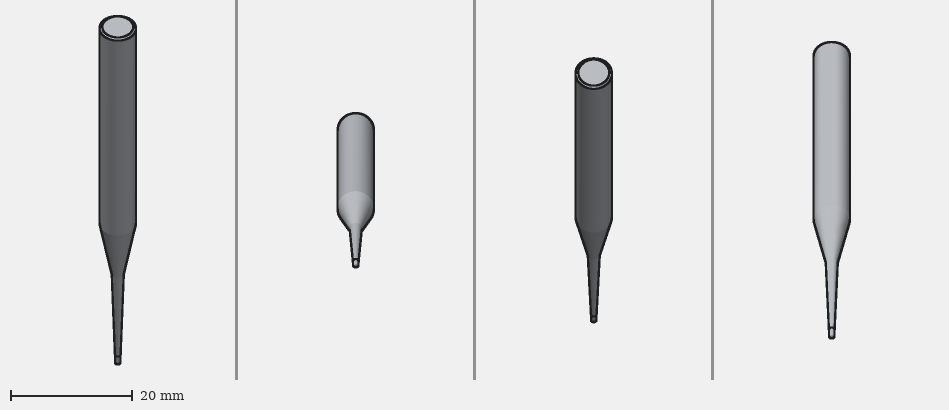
import cadquery as cq
import math


total_length = 75.0
shank_diameter = 6.0
shank_start = 31.3
shank_chamfer_height = 0.3
shank_chamfer_width = 0.45
neck_top = 20.0
neck_top_diameter = 2.0
neck_bottom_diameter = 1.0
cutter_diameter = 1.0
cutter_length = 2.0

shank_radius = shank_diameter / 2
shank_end_radius = shank_radius - shank_chamfer_width
neck_top_radius = neck_top_diameter / 2
neck_bottom_radius = neck_bottom_diameter / 2
cutter_radius = cutter_diameter / 2


def revolve_profile(profile):
    """Turn a closed half profile, drawn as (radius, height), about the Z axis."""
    return profile.close().revolve(360, (0, 0, 0), (0, 1, 0))


def make_cutter():
    """Short cylindrical cutting head with a hemispherical nose."""
    nose_mid = cutter_radius * math.sin(math.pi / 4)
    profile = (
        cq.Workplane("XZ")
        .moveTo(0, 0)
        .threePointArc((nose_mid, cutter_radius - nose_mid), (cutter_radius, cutter_radius))
        .lineTo(cutter_radius, cutter_length)
        .lineTo(0, cutter_length)
    )
    return revolve_profile(profile)


def make_holder():
    """Tapered neck, cone and chamfered cylindrical shank as one turned body."""
    profile = (
        cq.Workplane("XZ")
        .moveTo(0, cutter_length)
        .lineTo(neck_bottom_radius, cutter_length)
        .lineTo(neck_top_radius, neck_top)
        .lineTo(shank_radius, shank_start)
        .lineTo(shank_radius, total_length - shank_chamfer_height)
        .lineTo(shank_end_radius, total_length)
        .lineTo(0, total_length)
    )
    return revolve_profile(profile)


cutter = make_cutter()
holder = make_holder()
result = cq.Compound.makeCompound([cutter.val(), holder.val()])